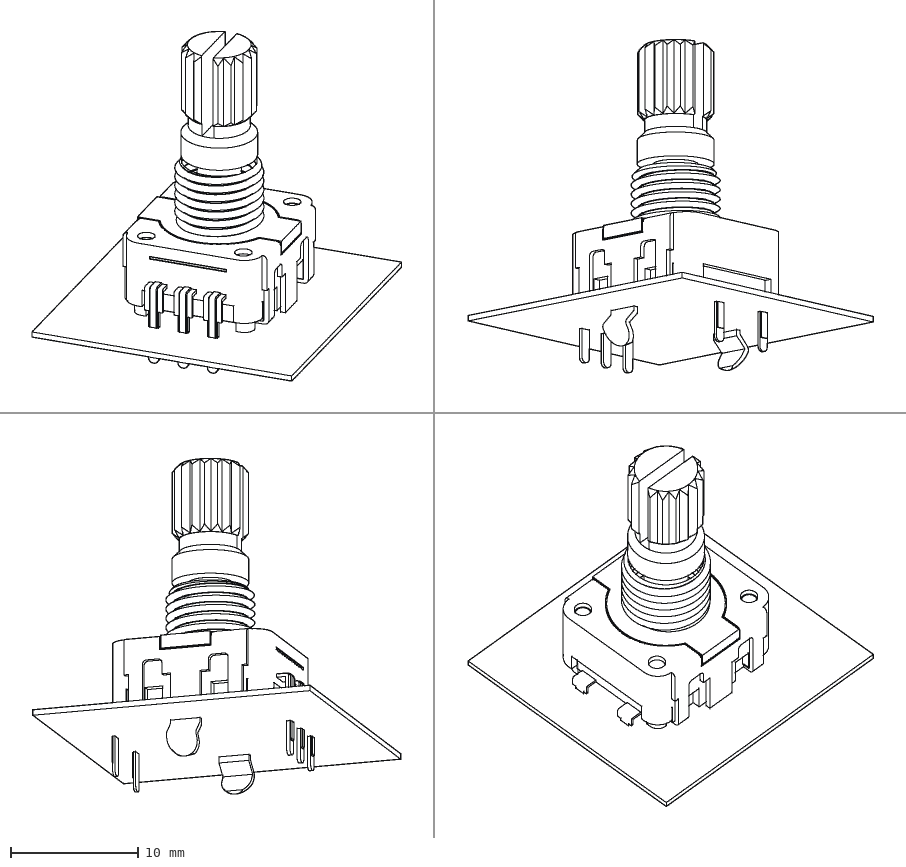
import cadquery as cq
import math


BOARD_X = 22.0
BOARD_Y = 23.0
BOARD_THICK = 0.45
BOARD_CENTRE_Y = -0.53

HOUSING_HALF_X = 5.7
HOUSING_HALF_Y = 6.6
HOUSING_TOP = 6.53
CORNER_RADIUS = 1.5
LEG_BOTTOM = 1.08
OPENING_TOP = 2.5
BASE_HALF_X = 3.8
BASE_HALF_Y = 4.96
BASE_LENGTH_HALF_Y = 6.05
BASE_BOTTOM = 0.78
BASE_GAP = 0.08
POCKET_NEAR_Y = 2.02
POCKET_FAR_Y = 3.48
POCKET_DEPTH = 0.65
BOSS_RADIUS = 1.86
BOSS_BOTTOM = 0.3

FOOT_OUTER_X = 5.05
FOOT_OUTER_Y = 5.95
FOOT_RADIUS = 0.83

RIVET_X = 4.1
RIVET_Y = 5.12
RIVET_RADIUS = 0.68
RIVET_DEPTH = 0.43
DEEP_RADIUS = 0.6
DEEP_DEPTH = 2.02
GROOVE_WIDTH = 0.1
GROOVE_DEPTH = 0.1
INLAY_RADIUS = 4.65
INLAY_HALF_Y = 2.05
INLAY_BOTTOM = 5.47

SLIT_HALF_X = 3.25
SLIT_HEIGHT = 0.2
SLIT_BOTTOM = 5.32
SLIT_DEPTH = 0.1

SHEET = 0.4
SHEET_OUTER_X = HOUSING_HALF_X + SHEET
SHEET_BOTTOM = 0.43
BEND_RADIUS = 0.38
FLAP_TOP_HALF_Y = HOUSING_HALF_Y - CORNER_RADIUS
FLAP_HALF_Y = 4.7
FLAP_STEP_Z = 3.55
WINDOW_FAR_Y = 3.55
WINDOW_NEAR_Y = 1.95
WINDOW_TOP = 4.6
WINDOW_RADIUS = 0.35
WINDOW_STEP_Z = 3.38
TONGUE_HALF_Y = 1.23
FLOOR_HALF_X = HOUSING_HALF_X - POCKET_DEPTH
FLOOR_TAB_HALF_X = 3.5
FLOOR_TAB_HALF_Y = 5.3

CLIP_BEND_Z = -0.78
CLIP_KNEE_X = 7.15
CLIP_KNEE_Z = -1.85
CLIP_KNEE_RADIUS = 0.33
CLIP_BEND_RADIUS = 0.25
CLIP_TIP_X = 6.12
CLIP_TIP_Z = -3.48
CLIP_ROUND_Z = -2.45

TERMINAL_PITCH = 2.5
TERMINAL_HALF_WIDE = 0.75
TERMINAL_HALF_WIDTH = 0.43
TERMINAL_BEND_RADIUS = 0.18
PIN_END_RADIUS = 0.4
FRONT_OUTER_Y = 7.6
FRONT_TOP = 3.35
FRONT_THICK = 0.28
FRONT_SHOULDER = 1.34
FRONT_BOTTOM = -3.12
REAR_OUTER_Y = 7.1
REAR_TOP = 0.98
REAR_THICK = 0.2
REAR_SHOULDER = 0.2
REAR_BOTTOM = -3.6
RIB_HALF_WIDTH = 0.33
RIB_HEIGHT = 0.1
RIB_CHAMFER = 0.08
RIB_END_RADIUS = 0.2
FRONT_RIB_BOTTOM = -1.97
REAR_RIB_BOTTOM = -2.52

THREAD_TOP = 11.62
THREAD_CREST_RADIUS = 3.5
THREAD_ROOT_RADIUS = 3.02
THREAD_PITCH = 0.75
THREAD_START_Z = 6.02
THREAD_TURNS = 8
THREAD_END_RADIUS = 2.95
RIDGE_HALF_HEIGHT = 0.35
RIDGE_OVERLAP = 0.05
ENVELOPE_MARGIN = 0.25

SHAFT_TOP = 21.6
STUB_RADIUS = 1.75
COLLAR_RADIUS = 3.02
COLLAR_BOTTOM = 12.12
COLLAR_CHAMFER_Z = 14.04
NECK_BOTTOM = 14.62
NECK_RADIUS = 2.45
KNURL_BOTTOM = 15.65
KNURL_CREST_RADIUS = 3.0
KNURL_ROOT_RADIUS = 2.52
KNURL_END_RADIUS = 2.5
KNURL_TEETH = 18
SLOT_WIDTH = 1.0


def block(half_x, half_y, z_low, z_high):
    """Box centred on the Z axis."""
    height = z_high - z_low
    return cq.Workplane("XY", origin=(0, 0, z_low)).rect(2 * half_x, 2 * half_y).extrude(height)


def cylinder(radius, z_low, z_high):
    return cq.Workplane("XY", origin=(0, 0, z_low)).circle(radius).extrude(z_high - z_low)


def box(x_range, y_range, z_range):
    """Box between two limits along each axis."""
    size = [high - low for low, high in (x_range, y_range, z_range)]
    corner = (x_range[0], y_range[0], z_range[0])
    return cq.Workplane("XY", origin=corner).box(*size, centered=False)


def mirrored_pair(shape, plane):
    return shape.union(shape.mirror(plane))


def four_corners(shape):
    return mirrored_pair(mirrored_pair(shape, "YZ"), "XZ")



def make_cover():
    """Rounded block whose lower part is cut away to leave four corner legs."""
    cover = block(HOUSING_HALF_X, HOUSING_HALF_Y, LEG_BOTTOM, HOUSING_TOP)
    cover = cover.edges("|Z").fillet(CORNER_RADIUS)
    for half_x, half_y in (
        (BASE_HALF_X + BASE_GAP, HOUSING_HALF_Y),
        (HOUSING_HALF_X, BASE_HALF_Y + BASE_GAP),
    ):
        cover = cover.cut(block(half_x, half_y, LEG_BOTTOM, OPENING_TOP))
    return cover


def make_base():
    """Cross-shaped base with pockets in its X sides and a low round boss below."""
    base = block(HOUSING_HALF_X, BASE_HALF_Y, BASE_BOTTOM, OPENING_TOP)
    base = base.union(block(BASE_HALF_X, BASE_LENGTH_HALF_Y, BASE_BOTTOM, OPENING_TOP))
    pocket = box(
        (FLOOR_HALF_X, HOUSING_HALF_X),
        (POCKET_NEAR_Y, POCKET_FAR_Y),
        (BASE_BOTTOM, OPENING_TOP),
    )
    return base.cut(four_corners(pocket)).union(cylinder(BOSS_RADIUS, BOSS_BOTTOM, BASE_BOTTOM))


def make_feet():
    foot = box((BASE_HALF_X, FOOT_OUTER_X), (BASE_HALF_Y, FOOT_OUTER_Y), (0, OPENING_TOP))
    foot = foot.edges("|Z and >X and >Y").fillet(FOOT_RADIUS)
    return four_corners(foot)



def make_flap():
    """Side flap on +X with two windows, rounded above and bent under the base."""
    x_range = (HOUSING_HALF_X, SHEET_OUTER_X)
    flap = box(x_range, (-FLAP_TOP_HALF_Y, FLAP_TOP_HALF_Y), (FLAP_STEP_Z, HOUSING_TOP))
    flap = flap.edges(">X and >Z").fillet(BEND_RADIUS)
    lower = box((FLOOR_HALF_X, SHEET_OUTER_X), (-FLAP_HALF_Y, FLAP_HALF_Y), (SHEET_BOTTOM, FLAP_STEP_Z))
    lower = lower.edges(">X and <Z").fillet(BEND_RADIUS)
    lower = lower.cut(
        box((FLOOR_HALF_X, HOUSING_HALF_X), (-FLAP_HALF_Y, FLAP_HALF_Y), (BASE_BOTTOM, FLAP_STEP_Z))
    )
    flap = flap.union(lower)

    cut_range = (FLOOR_HALF_X, SHEET_OUTER_X)
    window = box(cut_range, (WINDOW_NEAR_Y, WINDOW_FAR_Y), (SHEET_BOTTOM, WINDOW_TOP))
    window = window.edges("|X and >Z").fillet(WINDOW_RADIUS)
    window = window.union(box(cut_range, (TONGUE_HALF_Y, WINDOW_FAR_Y), (SHEET_BOTTOM, WINDOW_STEP_Z)))
    flap = flap.cut(mirrored_pair(window, "XZ"))

    tongue_bend = box(cut_range, (-TONGUE_HALF_Y, TONGUE_HALF_Y), (SHEET_BOTTOM, BASE_BOTTOM))
    return flap.cut(tongue_bend)


def make_clip():
    """Tongue on +X that passes through the board and ends in a bent, rounded spring clip."""
    inner_x = HOUSING_HALF_X
    knee_rise = math.atan2(CLIP_BEND_Z - CLIP_KNEE_Z, CLIP_KNEE_X - SHEET_OUTER_X)
    tip_angle = math.atan2(CLIP_KNEE_Z - CLIP_TIP_Z, CLIP_KNEE_X - CLIP_TIP_X)
    inner_bend_z = CLIP_BEND_Z - SHEET * math.tan((math.pi / 2 - knee_rise) / 2)
    inner_knee_x = CLIP_KNEE_X - SHEET / math.sin((knee_rise + tip_angle) / 2)
    tip_inner_x = CLIP_TIP_X - SHEET * math.sin(tip_angle)
    tip_inner_z = CLIP_TIP_Z + SHEET * math.cos(tip_angle)
    profile = [
        (inner_x, FLAP_STEP_Z),
        (SHEET_OUTER_X, FLAP_STEP_Z),
        (SHEET_OUTER_X, CLIP_BEND_Z),
        (CLIP_KNEE_X, CLIP_KNEE_Z),
        (CLIP_TIP_X, CLIP_TIP_Z),
        (tip_inner_x, tip_inner_z),
        (inner_knee_x, CLIP_KNEE_Z),
        (inner_x, inner_bend_z),
    ]
    strip = cq.Workplane("XZ").polyline(profile).close().extrude(TONGUE_HALF_Y, both=True)
    strip = strip.edges("|Y and >X").fillet(CLIP_KNEE_RADIUS)
    upper_bend = cq.NearestToPointSelector((SHEET_OUTER_X, 0, CLIP_BEND_Z))
    strip = strip.edges("|Y").edges(upper_bend).fillet(CLIP_BEND_RADIUS)
    outline = (
        cq.Workplane("YZ")
        .moveTo(-TONGUE_HALF_Y, FLAP_STEP_Z)
        .lineTo(-TONGUE_HALF_Y, CLIP_ROUND_Z)
        .threePointArc((0, CLIP_TIP_Z), (TONGUE_HALF_Y, CLIP_ROUND_Z))
        .lineTo(TONGUE_HALF_Y, FLAP_STEP_Z)
        .close()
        .extrude(CLIP_KNEE_X)
    )
    return strip.intersect(outline)


def make_bracket():
    side = make_flap().union(make_clip())
    floor = block(FLOOR_HALF_X, FLAP_HALF_Y, SHEET_BOTTOM, BASE_BOTTOM)
    floor = floor.union(block(FLOOR_TAB_HALF_X, FLOOR_TAB_HALF_Y, SHEET_BOTTOM, BASE_BOTTOM))
    floor = floor.union(block(HOUSING_HALF_X, POCKET_NEAR_Y, SHEET_BOTTOM, BASE_BOTTOM))
    inlay_end = box(
        (HOUSING_HALF_X, SHEET_OUTER_X), (-INLAY_HALF_Y, INLAY_HALF_Y), (INLAY_BOTTOM, HOUSING_TOP)
    )
    return mirrored_pair(side.union(inlay_end), "YZ").union(floor)



def inlay_outline(margin):
    """Disc with two arms along X, reaching past the bracket and grown by a margin."""
    z_low = HOUSING_TOP - GROOVE_DEPTH
    disc = cylinder(INLAY_RADIUS + margin, z_low, HOUSING_TOP)
    return disc.union(block(SHEET_OUTER_X, INLAY_HALF_Y + margin, z_low, HOUSING_TOP))


def make_inlay_groove():
    """Narrow groove around the disc on the top and around its arms on the X sides."""
    top_groove = inlay_outline(GROOVE_WIDTH).cut(inlay_outline(0))
    x_range = (SHEET_OUTER_X - GROOVE_DEPTH, SHEET_OUTER_X)
    outer_half_y = INLAY_HALF_Y + GROOVE_WIDTH
    end_groove = box(
        x_range, (-outer_half_y, outer_half_y), (INLAY_BOTTOM - GROOVE_WIDTH, HOUSING_TOP)
    ).cut(box(x_range, (-INLAY_HALF_Y, INLAY_HALF_Y), (INLAY_BOTTOM, HOUSING_TOP)))
    return top_groove.union(mirrored_pair(end_groove, "YZ"))


def make_rivet_holes():
    """Four shallow round recesses; those on one diagonal continue as narrower holes."""
    holes = four_corners(
        cylinder(RIVET_RADIUS, HOUSING_TOP - RIVET_DEPTH, HOUSING_TOP).translate((RIVET_X, RIVET_Y, 0))
    )
    for side in (-1, 1):
        deep = cylinder(DEEP_RADIUS, HOUSING_TOP - DEEP_DEPTH, HOUSING_TOP)
        holes = holes.union(deep.translate((side * RIVET_X, side * RIVET_Y, 0)))
    return holes


def make_slit():
    return box(
        (-SLIT_HALF_X, SLIT_HALF_X),
        (-HOUSING_HALF_Y, -HOUSING_HALF_Y + SLIT_DEPTH),
        (SLIT_BOTTOM, SLIT_BOTTOM + SLIT_HEIGHT),
    )



def bent_strip(half_width, root_y, outer_y, top, thick, bottom, bend_radius):
    """Strip running outward along +Y from root_y, then bent straight down."""
    strip = (
        cq.Workplane("YZ")
        .moveTo(root_y, top)
        .lineTo(outer_y, top)
        .lineTo(outer_y, bottom)
        .lineTo(outer_y - thick, bottom)
        .lineTo(outer_y - thick, top - thick)
        .lineTo(root_y, top - thick)
        .close()
        .extrude(half_width, both=True)
    )
    return strip.edges("|X and >Y and >Z").fillet(bend_radius)


def round_end(strip, radius):
    """Round the two corners at the lower end of a vertical strip."""
    return strip.faces("<Z").edges("|Y").fillet(radius)


def make_terminal(root_y, outer_y, top, thick, shoulder, bottom):
    """Wide shoulder strip with a narrower round-ended pin below it."""
    wide = bent_strip(TERMINAL_HALF_WIDE, root_y, outer_y, top, thick, shoulder, TERMINAL_BEND_RADIUS)
    pin = box(
        (-TERMINAL_HALF_WIDTH, TERMINAL_HALF_WIDTH), (outer_y - thick, outer_y), (bottom, shoulder)
    )
    return wide.union(round_end(pin, PIN_END_RADIUS))


def make_front_terminal():
    """Terminal towards +Y with a stiffening rib over its outer face."""
    root_y = BASE_LENGTH_HALF_Y
    terminal = make_terminal(
        root_y, FRONT_OUTER_Y, FRONT_TOP, FRONT_THICK, FRONT_SHOULDER, FRONT_BOTTOM
    )
    rib = bent_strip(
        RIB_HALF_WIDTH,
        root_y,
        FRONT_OUTER_Y + RIB_HEIGHT,
        FRONT_TOP + RIB_HEIGHT,
        FRONT_THICK,
        FRONT_RIB_BOTTOM,
        TERMINAL_BEND_RADIUS + RIB_HEIGHT,
    )
    rib = round_end(rib, RIB_END_RADIUS).faces(">Y").edges("|Z").chamfer(RIB_CHAMFER)
    return terminal.union(rib)


def make_rear_terminal():
    """Terminal towards +Y with a stiffening rib on the lower part of its pin."""
    terminal = make_terminal(
        BASE_HALF_Y, REAR_OUTER_Y, REAR_TOP, REAR_THICK, REAR_SHOULDER, REAR_BOTTOM
    )
    rib = box(
        (-RIB_HALF_WIDTH, RIB_HALF_WIDTH),
        (REAR_OUTER_Y, REAR_OUTER_Y + RIB_HEIGHT),
        (REAR_RIB_BOTTOM, -BOARD_THICK),
    )
    return terminal.union(rib)



def make_bushing():
    """Core with a helical V ridge, trimmed by a cylinder whose top is chamfered."""
    core = cylinder(THREAD_ROOT_RADIUS, THREAD_START_Z, THREAD_TOP)
    height = THREAD_TURNS * THREAD_PITCH
    base_radius = THREAD_ROOT_RADIUS - RIDGE_OVERLAP
    helix = cq.Wire.makeHelix(THREAD_PITCH, height, base_radius, cq.Vector(0, 0, THREAD_START_Z))
    ridge = (
        cq.Workplane("XZ")
        .moveTo(base_radius, THREAD_START_Z - RIDGE_HALF_HEIGHT)
        .lineTo(THREAD_CREST_RADIUS, THREAD_START_Z)
        .lineTo(base_radius, THREAD_START_Z + RIDGE_HALF_HEIGHT)
        .close()
        .sweep(cq.Workplane(helix), isFrenet=True)
    )
    envelope_radius = THREAD_CREST_RADIUS + ENVELOPE_MARGIN
    envelope = cylinder(envelope_radius, HOUSING_TOP - ENVELOPE_MARGIN, THREAD_TOP)
    envelope = envelope.faces(">Z").chamfer(envelope_radius - THREAD_END_RADIUS)
    return core.union(ridge).intersect(envelope)


def make_plain_shaft():
    """Turned part of the shaft: stub, chamfered collar and neck."""
    profile = [
        (0, HOUSING_TOP),
        (STUB_RADIUS, HOUSING_TOP),
        (STUB_RADIUS, COLLAR_BOTTOM),
        (COLLAR_RADIUS, COLLAR_BOTTOM),
        (COLLAR_RADIUS, COLLAR_CHAMFER_Z),
        (NECK_RADIUS, NECK_BOTTOM),
        (NECK_RADIUS, KNURL_BOTTOM),
        (0, KNURL_BOTTOM),
    ]
    return cq.Workplane("XZ").polyline(profile).close().revolve(360, (0, 0, 0), (0, 1, 0))


def make_knurl():
    """V-toothed grip with 45 degree cones at both ends."""
    half_step = math.pi / KNURL_TEETH
    points = []
    for index in range(2 * KNURL_TEETH):
        radius = KNURL_CREST_RADIUS if index % 2 else KNURL_ROOT_RADIUS
        points.append((radius * math.cos(index * half_step), radius * math.sin(index * half_step)))
    length = SHAFT_TOP - KNURL_BOTTOM
    teeth = cq.Workplane("XY", origin=(0, 0, KNURL_BOTTOM)).polyline(points).close().extrude(length)
    envelope = cylinder(KNURL_CREST_RADIUS, KNURL_BOTTOM, SHAFT_TOP)
    envelope = envelope.faces("<Z or >Z").chamfer(KNURL_CREST_RADIUS - KNURL_END_RADIUS)
    return teeth.intersect(envelope)


def make_shaft():
    slot = block(SLOT_WIDTH / 2, KNURL_CREST_RADIUS, NECK_BOTTOM, SHAFT_TOP)
    return make_plain_shaft().union(make_knurl()).cut(slot)



def make_encoder():
    encoder = make_cover().union(make_base()).union(make_feet()).union(make_bracket())
    encoder = encoder.cut(make_inlay_groove()).cut(make_rivet_holes()).cut(make_slit())
    front_terminal = make_front_terminal().mirror("XZ")
    for position in (-1, 0, 1):
        encoder = encoder.union(front_terminal.translate((position * TERMINAL_PITCH, 0, 0)))
    rear_terminal = make_rear_terminal()
    for position in (-1, 1):
        encoder = encoder.union(rear_terminal.translate((position * TERMINAL_PITCH, 0, 0)))
    return encoder.union(make_bushing()).union(make_shaft())


def make_board(mounted_part):
    """Flat board with openings that match everything passing through it."""
    board = cq.Workplane("XY").box(BOARD_X, BOARD_Y, BOARD_THICK)
    board = board.translate((0, BOARD_CENTRE_Y, -BOARD_THICK / 2))
    return board.cut(mounted_part)


encoder = make_encoder()
board = make_board(encoder)
result = cq.Compound.makeCompound([encoder.solids().val(), board.solids().val()])